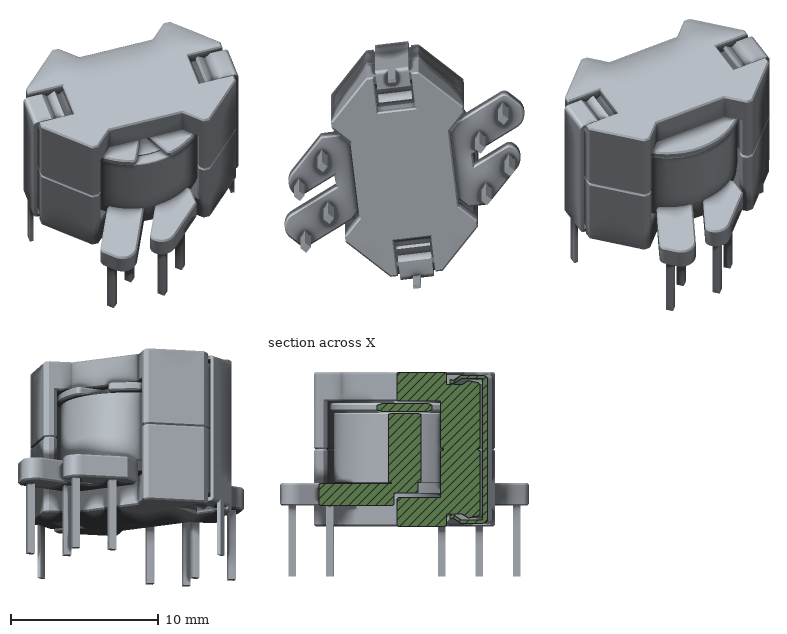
import cadquery as cq
import math


CORE_HALF_SIZE = 6.15
CORE_HEIGHT = 10.48
HALF_HEIGHT = CORE_HEIGHT / 2
CORNER_START = 3.63
NOTCH_SIDE = 0.55
NOTCH_DEPTH = 4.24
ARM_CHAMFER = 0.3
EDGE_BREAK = 0.11
CORNER_FACE_RADIUS = (CORE_HALF_SIZE + CORNER_START) / math.sqrt(2)

CAVITY_DIAMETER = 10.5
CAVITY_FLOOR = 1.98
WINDOW_WIDTH = 7.0
WINDOW_LENGTH = 4 * CORE_HALF_SIZE
POST_DIAMETER = 5.0

BORE_DIAMETER = 5.5
TUBE_DIAMETER = 8.13
WINDING_DIAMETER = 9.6
WINDING_RIM_DIAMETER = 9.49
WINDING_TOP = 7.68
FLANGE_DIAMETER = 10.06
TOP_FLANGE_BOTTOM = 7.8
TOP_FLANGE_TOP = 8.35
LOWER_FLANGE_DIAMETER = WINDING_RIM_DIAMETER
LOWER_FLANGE_BOTTOM = 2.27
LEAD_SLOT_APEX = 2.39
LEAD_SLOT_HALF_ANGLE = 25
LEAD_SLOT_ROUND = 0.3

BLOCK_BOTTOM = 1.41
BLOCK_TOP = 2.95
BLOCK_BREAK = 0.11
BLOCK_EDGE = 0.72
BLOCK_END_Y = -8.435
BLOCK_SIDE_X = 5.9
SHORT_LOBE_END_Y = -5.88
SIDE_BEVEL_Y = -1.66
LOBE_ANGLE = 20
LONG_LOBE_INNER = -0.985
LONG_LOBE_OUTER = 1.49
SHORT_LOBE_INNER = 2.21
SMALL_ROUND = 0.5
LARGE_ROUND = 1.0
PIN_PITCH = 2.54
PIN_GRID = ((1, 2), (1, 3), (2, 1), (2, 2))
PIN_SIZE = 0.5
PIN_LENGTH = 3.4

CLIP_WIDTH = 2.28
CLIP_THICKNESS = 0.26
CLIP_FACE_RADIUS = 7.28
CLIP_TOP = 10.28
CLIP_BEND = 0.3
CLIP_INNER_RADIUS = CLIP_FACE_RADIUS - CLIP_THICKNESS
HOOK_START = 6.0
HOOK_VALLEY = 5.6
HOOK_END = 5.09
HOOK_DEPTH = 0.36
HOOK_PRESS = 0.03
CLIP_PIN_WIDTH = 0.53
CLIP_ANGLES = (45, 225)

RECESS_WIDTH = 2.56
RECESS_DEPTH = 0.82
RECESS_END = 4.46
RECESS_BREAK = 0.09
RECESS_FOOT = 0.24
BREAK_TAPER = 45
RIDGE_RADIUS = 6.35
RIDGE_FOOT_RADIUS = 6.05
RIDGE_DEPTH = 0.56


def half_turn(body):
    return body.rotate((0, 0, 0), (0, 0, 1), 180)


def mirror_in_core(body):
    """Mirror a body in the parting plane of the core."""
    return body.mirror("XY", (0, 0, HALF_HEIGHT))


def cylinder(diameter, bottom, top):
    return cq.Workplane("XY").workplane(offset=bottom).circle(diameter / 2).extrude(top - bottom)


def make_lower_core():
    side = CORE_HALF_SIZE
    notched_side = [
        (NOTCH_SIDE - ARM_CHAMFER, -side),
        (NOTCH_SIDE, -side + ARM_CHAMFER),
        (NOTCH_SIDE, -NOTCH_DEPTH),
        (NOTCH_DEPTH, -NOTCH_SIDE),
        (side - ARM_CHAMFER, -NOTCH_SIDE),
        (side, -NOTCH_SIDE + ARM_CHAMFER),
        (side, CORNER_START),
        (CORNER_START, side),
    ]
    outline = notched_side + [(-x, -y) for x, y in notched_side]
    core = cq.Workplane("XY").polyline(outline).close().extrude(HALF_HEIGHT)
    core = core.faces("<Z").edges().chamfer(EDGE_BREAK)

    cavity_height = HALF_HEIGHT - CAVITY_FLOOR
    window = (
        cq.Workplane("XY")
        .box(WINDOW_WIDTH, WINDOW_LENGTH, cavity_height, centered=(True, True, False))
        .rotate((0, 0, 0), (0, 0, 1), 45)
        .translate((0, 0, CAVITY_FLOOR))
    )
    core = core.cut(window)
    for reach in (side, -side):
        sill = cq.selectors.BoxSelector(
            (0, 0, CAVITY_FLOOR - EDGE_BREAK),
            (reach, -reach, CAVITY_FLOOR + EDGE_BREAK),
        )
        core = core.edges(sill).chamfer(EDGE_BREAK)

    core = core.cut(cylinder(CAVITY_DIAMETER, CAVITY_FLOOR, HALF_HEIGHT))
    core = core.faces(">Z").edges().chamfer(EDGE_BREAK)

    recess = make_clip_recess()
    for angle in CLIP_ANGLES:
        core = core.cut(recess.rotate((0, 0, 0), (0, 0, 1), angle))
    return core.union(cylinder(POST_DIAMETER, CAVITY_FLOOR, HALF_HEIGHT))


def make_clip_recess():
    """Cutter for one recess in the underside, on the +X axis, with a ridge across its floor."""
    recess_mouth = 2 * CORE_HALF_SIZE
    floor_profile = [
        (RECESS_END, 0),
        (RECESS_END, RECESS_DEPTH - RECESS_FOOT),
        (RECESS_END + RECESS_FOOT, RECESS_DEPTH),
        (RIDGE_FOOT_RADIUS, RECESS_DEPTH),
        (RIDGE_RADIUS, RIDGE_DEPTH),
        (CORNER_FACE_RADIUS - EDGE_BREAK, RECESS_DEPTH - EDGE_BREAK),
        (CORNER_FACE_RADIUS, RECESS_DEPTH),
        (recess_mouth, RECESS_DEPTH),
        (recess_mouth, 0),
    ]
    recess = cq.Workplane("XZ").polyline(floor_profile).close().extrude(RECESS_WIDTH / 2, both=True)
    rim_start = RECESS_END - RECESS_BREAK
    rim_length = recess_mouth - rim_start
    rim = (
        cq.Workplane("XY")
        .center(rim_start + rim_length / 2, 0)
        .rect(rim_length, RECESS_WIDTH + 2 * RECESS_BREAK)
        .extrude(2 * RECESS_BREAK, taper=BREAK_TAPER)
    )
    return recess.union(rim)


def make_core():
    lower = make_lower_core()
    return lower.union(mirror_in_core(lower))


def make_lead_slot():
    """Wedge through the top flange that lets the wire ends out."""
    reach = FLANGE_DIAMETER
    half_width = (reach - LEAD_SLOT_APEX) * math.tan(math.radians(LEAD_SLOT_HALF_ANGLE))
    wedge = (
        cq.Workplane("XY")
        .polyline([(LEAD_SLOT_APEX, 0), (reach, -half_width), (reach, half_width)])
        .close()
        .extrude(CORE_HEIGHT)
    )
    return wedge.rotate((0, 0, 0), (0, 0, 1), -45)


def make_top_flange():
    flange = cylinder(FLANGE_DIAMETER, TOP_FLANGE_BOTTOM, TOP_FLANGE_TOP)
    flange = flange.cut(make_lead_slot())
    inner_reach = FLANGE_DIAMETER / 4
    outer_reach = FLANGE_DIAMETER / 2
    slot_mouth = cq.selectors.BoxSelector(
        (inner_reach, -outer_reach, TOP_FLANGE_BOTTOM),
        (outer_reach, -inner_reach, TOP_FLANGE_TOP),
    )
    flange = flange.edges("|Z").edges(slot_mouth).fillet(LEAD_SLOT_ROUND)
    return flange.faces("<Z or >Z").edges().chamfer(EDGE_BREAK)


def make_bobbin():
    winding = cylinder(WINDING_DIAMETER, BLOCK_TOP, WINDING_TOP)
    winding = winding.faces("<Z or >Z").edges().chamfer((WINDING_DIAMETER - WINDING_RIM_DIAMETER) / 2)
    bobbin = winding.union(make_top_flange())
    bobbin = bobbin.union(cylinder(TUBE_DIAMETER, BLOCK_TOP, TOP_FLANGE_BOTTOM))
    bobbin = bobbin.union(cylinder(LOWER_FLANGE_DIAMETER, LOWER_FLANGE_BOTTOM, BLOCK_TOP))
    return bobbin.cut(cylinder(BORE_DIAMETER, 0, CORE_HEIGHT))


def lobe_side_x(distance, y):
    """X at a given Y on a tilted lobe side lying at a signed distance from the Z axis."""
    tilt = math.radians(LOBE_ANGLE)
    return (distance - y * math.sin(tilt)) / math.cos(tilt)


def lobe_side_y(distance, x):
    """Y at a given X on a tilted lobe side."""
    tilt = math.radians(LOBE_ANGLE)
    return (distance - x * math.cos(tilt)) / math.sin(tilt)


def lobe_side_point(distance, radius):
    """Point of a tilted lobe side at a given radius from the Z axis, on the -Y side."""
    tilt = math.radians(LOBE_ANGLE)
    along = math.sqrt(radius**2 - distance**2)
    return (
        distance * math.cos(tilt) + along * math.sin(tilt),
        distance * math.sin(tilt) - along * math.cos(tilt),
    )


def make_terminal_block():
    """Two-lobed block that holds the pins on the -Y side of the core."""
    face_offset = NOTCH_DEPTH + NOTCH_SIDE
    gap_radius = LOWER_FLANGE_DIAMETER / 2
    long_inner_tip = (lobe_side_x(LONG_LOBE_INNER, BLOCK_END_Y), BLOCK_END_Y)
    long_outer_tip = (lobe_side_x(LONG_LOBE_OUTER, BLOCK_END_Y), BLOCK_END_Y)
    short_inner_tip = (lobe_side_x(SHORT_LOBE_INNER, SHORT_LOBE_END_Y), SHORT_LOBE_END_Y)
    short_outer_tip = (BLOCK_SIDE_X, SHORT_LOBE_END_Y)
    bevel_run = -BLOCK_EDGE - SIDE_BEVEL_Y
    outline = [
        (BLOCK_EDGE, BLOCK_EDGE - face_offset),
        (BLOCK_EDGE, lobe_side_y(LONG_LOBE_INNER, BLOCK_EDGE)),
        long_inner_tip,
        long_outer_tip,
        lobe_side_point(LONG_LOBE_OUTER, gap_radius),
        lobe_side_point(SHORT_LOBE_INNER, gap_radius),
        short_inner_tip,
        short_outer_tip,
        (BLOCK_SIDE_X, SIDE_BEVEL_Y),
        (BLOCK_SIDE_X - bevel_run, -BLOCK_EDGE),
        (face_offset - BLOCK_EDGE, -BLOCK_EDGE),
    ]
    block = cq.Workplane("XY").workplane(offset=BLOCK_BOTTOM).polyline(outline).close()
    block = block.extrude(BLOCK_TOP - BLOCK_BOTTOM)
    tip_rounds = [
        (long_inner_tip, SMALL_ROUND),
        (long_outer_tip, LARGE_ROUND),
        (short_inner_tip, SMALL_ROUND),
        (short_outer_tip, LARGE_ROUND),
    ]
    for (x, y), radius in tip_rounds:
        corner = cq.selectors.NearestToPointSelector((x, y, (BLOCK_BOTTOM + BLOCK_TOP) / 2))
        block = block.edges("|Z").edges(corner).fillet(radius)
    return block.faces("<Z or >Z").edges().chamfer(BLOCK_BREAK)


def make_pins():
    points = [(PIN_PITCH * column, -PIN_PITCH * row) for column, row in PIN_GRID]
    return (
        cq.Workplane("XY")
        .workplane(offset=-PIN_LENGTH)
        .pushPoints(points)
        .rect(PIN_SIZE, PIN_SIZE)
        .extrude(PIN_LENGTH + BLOCK_BOTTOM)
    )


def make_hook():
    """Upper half of a clip: the strip, its lip over the core edge and the V pressed into the recess."""
    lip_underside = CLIP_TOP - CLIP_THICKNESS
    valley = CLIP_TOP - HOOK_DEPTH
    recess_floor = CORE_HEIGHT - RECESS_DEPTH
    rise_angle = math.atan2(HOOK_DEPTH, HOOK_VALLEY - HOOK_END)
    bend_center = (CLIP_FACE_RADIUS - CLIP_BEND, CLIP_TOP - CLIP_BEND)
    bend_reach = CLIP_BEND * math.sqrt(0.5)
    return (
        cq.Workplane("XZ")
        .moveTo(CLIP_FACE_RADIUS, HALF_HEIGHT)
        .lineTo(CLIP_FACE_RADIUS, bend_center[1])
        .threePointArc(
            (bend_center[0] + bend_reach, bend_center[1] + bend_reach),
            (bend_center[0], CLIP_TOP),
        )
        .lineTo(HOOK_START, CLIP_TOP)
        .lineTo(HOOK_VALLEY, valley)
        .lineTo(HOOK_END, CLIP_TOP)
        .lineTo(
            HOOK_END - CLIP_THICKNESS * math.sin(rise_angle),
            CLIP_TOP - CLIP_THICKNESS * math.cos(rise_angle),
        )
        .lineTo(HOOK_VALLEY, recess_floor - HOOK_PRESS)
        .lineTo(HOOK_START, lip_underside)
        .lineTo(CLIP_INNER_RADIUS, lip_underside)
        .lineTo(CLIP_INNER_RADIUS, HALF_HEIGHT)
        .close()
        .extrude(CLIP_WIDTH / 2, both=True)
    )


def make_clip():
    hook = make_hook()
    pin = (
        cq.Workplane("XY")
        .box(CLIP_THICKNESS, CLIP_PIN_WIDTH, HALF_HEIGHT + PIN_LENGTH, centered=(False, True, False))
        .translate((CLIP_INNER_RADIUS, 0, -PIN_LENGTH))
    )
    return hook.union(mirror_in_core(hook)).union(pin)


def make_part():
    terminal = make_terminal_block().union(make_pins())
    part = make_core().union(make_bobbin())
    part = part.union(terminal).union(half_turn(terminal))
    clip = make_clip()
    for angle in CLIP_ANGLES:
        part = part.union(clip.rotate((0, 0, 0), (0, 0, 1), angle))
    return part


result = make_part()